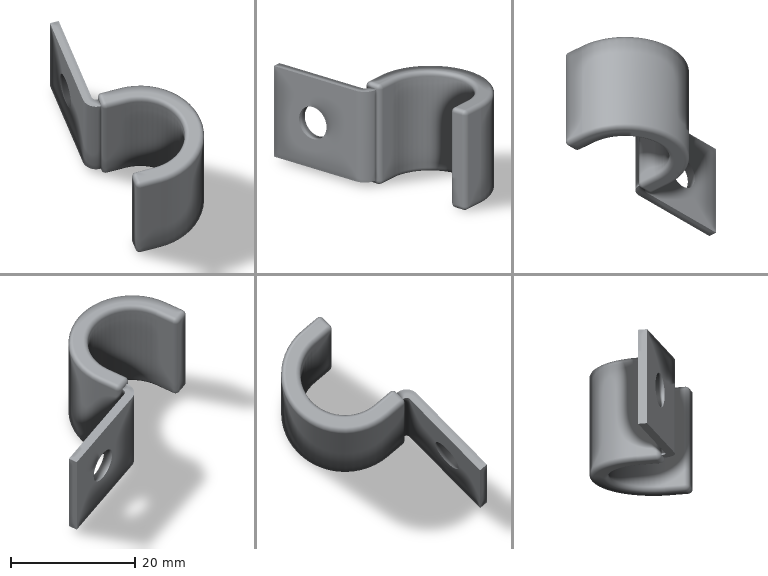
import cadquery as cq

overall_length = 37.22
cushion_outer_radius = 10.27
cushion_thickness = 3.13
cushion_height = 17.45
leg_length = 4.0
edge_radius = 0.75
cushion_inner_radius = cushion_outer_radius - cushion_thickness
arc_center_x = overall_length - cushion_outer_radius

strap_thickness = 1.5
strap_width = 15.8
bend_inner_radius = 0.75
bend_outer_radius = bend_inner_radius + strap_thickness
tab_face_y = -6.33
tab_back_y = tab_face_y + strap_thickness
bend_center_y = tab_face_y + bend_outer_radius
strap_embedment = 1.5
strap_end_y = -leg_length + strap_embedment

leg_middle_x = arc_center_x - cushion_outer_radius + cushion_thickness / 2
strap_inner_x = leg_middle_x - strap_thickness / 2
strap_outer_x = leg_middle_x + strap_thickness / 2
bend_center_x = strap_outer_x - bend_outer_radius

hole_diameter = 5.6
hole_x = 7.93


def make_cushion():
    """U-shaped sleeve with every outer edge rounded."""
    outer_left = arc_center_x - cushion_outer_radius
    inner_left = arc_center_x - cushion_inner_radius
    inner_right = arc_center_x + cushion_inner_radius
    sleeve = (
        cq.Workplane("XY")
        .moveTo(outer_left, -leg_length)
        .lineTo(outer_left, 0)
        .threePointArc((arc_center_x, cushion_outer_radius), (overall_length, 0))
        .lineTo(overall_length, -leg_length)
        .lineTo(inner_right, -leg_length)
        .lineTo(inner_right, 0)
        .threePointArc((arc_center_x, cushion_inner_radius), (inner_left, 0))
        .lineTo(inner_left, -leg_length)
        .close()
        .extrude(cushion_height / 2, both=True)
    )
    return sleeve.faces("<Z or >Z or <Y").edges().fillet(edge_radius)


def make_strap():
    """Flat tab, quarter bend and short end embedded in the cushion leg."""
    strap = (
        cq.Workplane("XY")
        .moveTo(0, tab_face_y)
        .lineTo(bend_center_x, tab_face_y)
        .radiusArc((strap_outer_x, bend_center_y), -bend_outer_radius)
        .lineTo(strap_outer_x, strap_end_y)
        .lineTo(strap_inner_x, strap_end_y)
        .lineTo(strap_inner_x, bend_center_y)
        .radiusArc((bend_center_x, tab_back_y), bend_inner_radius)
        .lineTo(0, tab_back_y)
        .close()
        .extrude(strap_width / 2, both=True)
    )
    hole = (
        cq.Workplane("XZ", origin=(hole_x, tab_back_y, 0))
        .circle(hole_diameter / 2)
        .extrude(strap_thickness)
    )
    return strap.cut(hole)


result = make_cushion().union(make_strap())